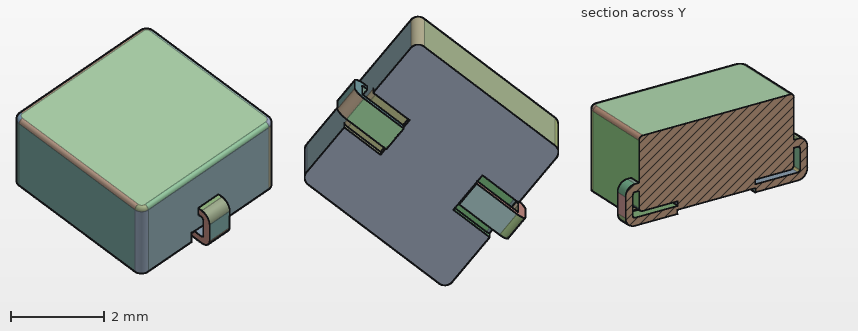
import cadquery as cq

body_side = 4.0
body_height = 2.0
corner_radius = 0.2
top_edge_radius = 0.1

terminal_span = 4.7
terminal_width = 0.6
sheet_thickness = 0.2
terminal_height = 1.0
outer_bend_radius = 0.25
inner_bend_radius = outer_bend_radius - sheet_thickness
foot_drop = 0.1
foot_inner_x = 1.0

notch_width = 1.0
notch_height = 0.2
notch_lip_radius = 0.1


def make_body():
    block = cq.Workplane("XY").box(body_side, body_side, body_height, centered=(True, True, False))
    return block.edges("|Z").fillet(corner_radius).faces(">Z").edges().fillet(top_edge_radius)


def make_notch():
    """Cutter for the -X side, whose roof rounds over into the body wall."""
    wall_x = -body_side / 2
    profile = (
        cq.Workplane("XZ", origin=(0, notch_width / 2, 0))
        .moveTo(-foot_inner_x, 0)
        .lineTo(-foot_inner_x, notch_height)
        .lineTo(wall_x + notch_lip_radius, notch_height)
        .radiusArc((wall_x, notch_height + notch_lip_radius), notch_lip_radius)
        .lineTo(wall_x, 0)
        .close()
    )
    return profile.extrude(notch_width)


def make_terminal():
    """C-shaped terminal on the -X side: arm into the body wall, upright, foot along the underside."""
    left = -terminal_span / 2
    wall_x = -body_side / 2
    bottom = -foot_drop
    foot_length = terminal_span / 2 - foot_inner_x

    def bent_bar(x, z, height, bend_radius):
        bar = cq.Workplane("XY", origin=(x, 0, z)).box(
            foot_length, terminal_width, height, centered=(False, True, False)
        )
        return bar.edges("|Y and <X").fillet(bend_radius)

    outer = bent_bar(left, bottom, terminal_height, outer_bend_radius)
    opening_height = terminal_height - 2 * sheet_thickness
    opening = bent_bar(left + sheet_thickness, bottom + sheet_thickness, opening_height, inner_bend_radius)

    arm_excess = cq.Workplane("XY", origin=(wall_x, 0, bottom + sheet_thickness)).box(
        foot_length, terminal_width, terminal_height, centered=(False, True, False)
    )
    return outer.cut(opening).cut(arm_excess)


notch = make_notch()
terminal = make_terminal()
result = make_body()
for side_angle in (0, 180):
    result = result.cut(notch.rotate((0, 0, 0), (0, 0, 1), side_angle))
    result = result.union(terminal.rotate((0, 0, 0), (0, 0, 1), side_angle))